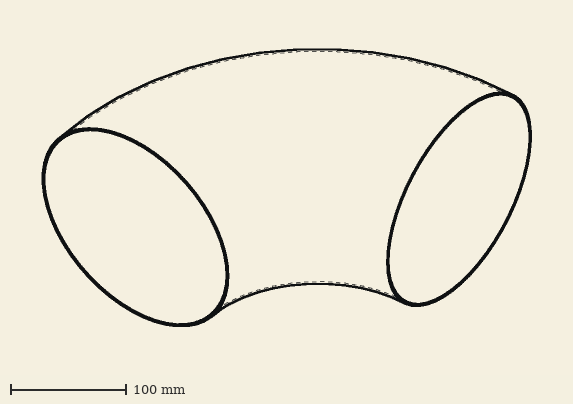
import cadquery as cq

overall_reach = 302.0
outer_diameter = 204.0
wall_thickness = 2.0
bend_angle = 90.0

outer_radius = outer_diameter / 2
inner_radius = outer_radius - wall_thickness
bend_radius = overall_reach - outer_radius

pipe_section = (
    cq.Workplane("XZ")
    .center(-bend_radius, 0)
    .circle(outer_radius)
    .circle(inner_radius)
)

axis_start = (bend_radius, 0)
axis_end = (bend_radius, -1)

result = pipe_section.revolve(bend_angle, axis_start, axis_end)